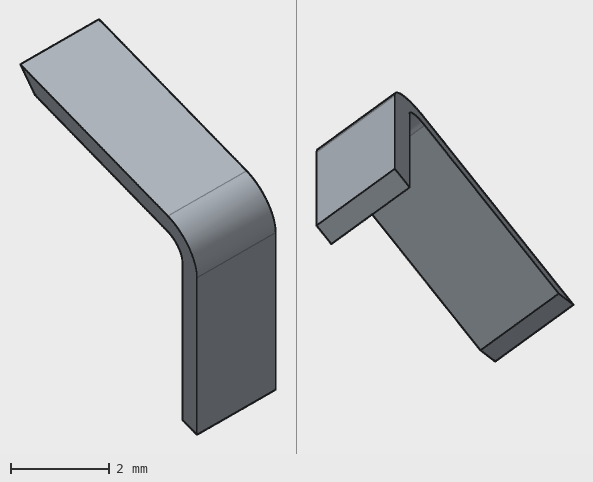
import cadquery as cq

length = 6.01
width = 2.0
height = 6.0
thickness = 0.5
inner_radius = 0.5
outer_radius = inner_radius + thickness

inner_x = length - thickness
inner_z = height - thickness
tip_bevel = thickness

strip = (
    cq.Workplane("XZ")
    .moveTo(0, height)
    .lineTo(length, height)
    .lineTo(length, 0)
    .lineTo(inner_x, 0)
    .lineTo(inner_x, inner_z)
    .lineTo(tip_bevel, inner_z)
    .close()
    .extrude(-width)
)

outer_corner = cq.selectors.NearestToPointSelector((length, width / 2, height))
inner_corner = cq.selectors.NearestToPointSelector((inner_x, width / 2, inner_z))
result = strip.edges(outer_corner).fillet(outer_radius)
result = result.edges(inner_corner).fillet(inner_radius)